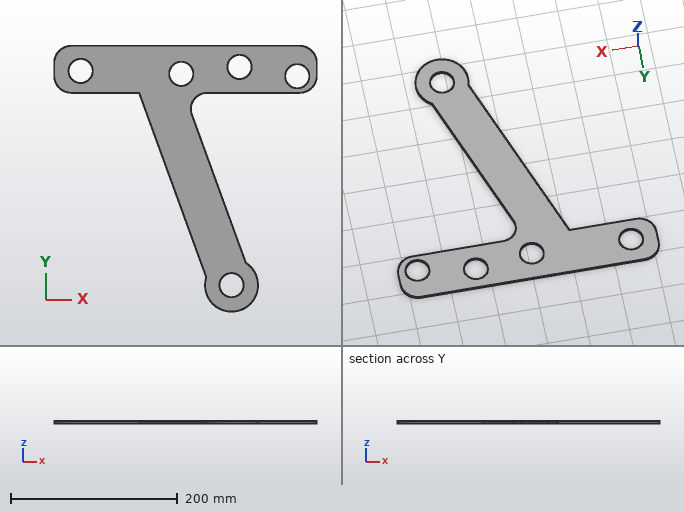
import cadquery as cq
import math

thickness = 3.15
hole_diameter = 28.7

bar_length = 315.0
bar_height = 56.8
bar_left = -212.7
bar_corner_radius = 21.0

foot_radius = 32.0
overall_height = 319.0
arm_width = 50.7
arm_tilt = 20.0
arm_fillet_radius = 19.0

bar_top = overall_height - foot_radius
bar_bottom = bar_top - bar_height
bar_hole_centers = [(-180.8, 256.7), (-60.3, 253.2), (9.5, 261.5), (78.8, 250.3)]
pivot_center = (0, 0)


def make_bar():
    """Crossbar plate with four rounded corners."""
    return (
        cq.Workplane("XY")
        .center(bar_left + bar_length / 2, bar_top - bar_height / 2)
        .rect(bar_length, bar_height)
        .extrude(thickness)
        .edges("|Z")
        .fillet(bar_corner_radius)
    )


def make_arm():
    """Tilted strip whose centreline runs from the pivot up into the bar."""
    tilt = math.radians(arm_tilt)
    half_width_across = arm_width / 2 / math.cos(tilt)
    arm_top = bar_bottom + bar_height / 2
    top_center = -arm_top * math.tan(tilt)
    return (
        cq.Workplane("XY")
        .moveTo(-half_width_across, 0)
        .lineTo(half_width_across, 0)
        .lineTo(top_center + half_width_across, arm_top)
        .lineTo(top_center - half_width_across, arm_top)
        .close()
        .extrude(thickness)
    )


def fillet_arm_root(plate):
    """Round the inner corner on the right side, where arm and bar meet."""
    tilt = math.radians(arm_tilt)
    corner_x = -bar_bottom * math.tan(tilt) + arm_width / 2 / math.cos(tilt)
    corner = (corner_x, bar_bottom, thickness / 2)
    root_edge = cq.selectors.NearestToPointSelector(corner)
    return plate.edges("|Z").edges(root_edge).fillet(arm_fillet_radius)


foot = cq.Workplane("XY").circle(foot_radius).extrude(thickness)
holes = (
    cq.Workplane("XY")
    .pushPoints(bar_hole_centers + [pivot_center])
    .circle(hole_diameter / 2)
    .extrude(thickness)
)

plate = fillet_arm_root(make_bar().union(make_arm()))
result = plate.union(foot).cut(holes)